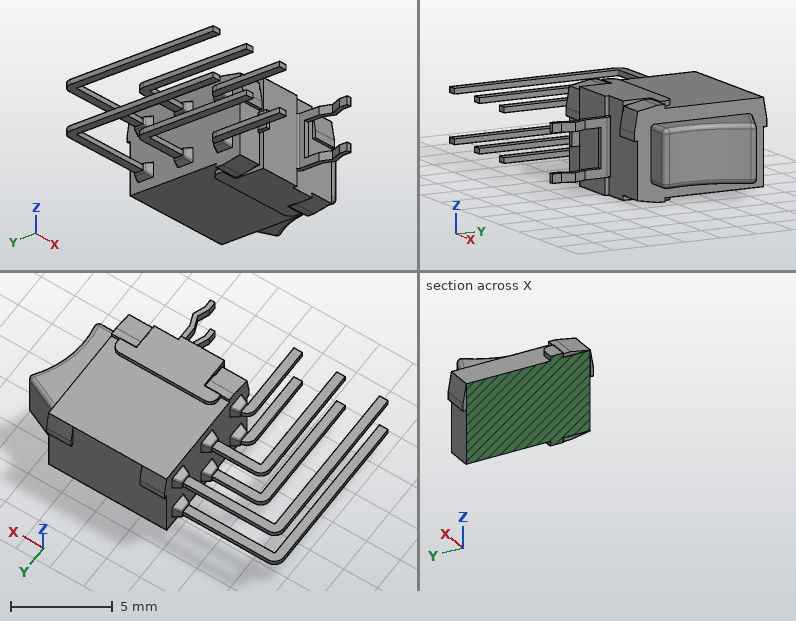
import cadquery as cq


body_length = 7.0
body_depth = 7.05
body_height = 4.49
half_depth = body_depth / 2
half_height = body_height / 2

lug_length = 1.46
lug_reach = 0.18
lug_top_z = 1.17
lug_bottom_z = 0.75
shoulder_height = 0.2
shoulder_start_y = -1.98
shoulder_slope_y = -2.4

metal = 0.23
bracket_height = 5.0
bracket_wide_x = 0.5
bracket_wide_corner = 0.46
bracket_back_y = -1.25
bracket_gap = 0.03
front_plate_end_x = 4.08
bend_radius = 0.09
bracket_face_y = -half_depth - metal

tab_width = 0.98
tab_thickness = 0.25
tab_tip_y = -4.18
leg_width = 0.48
leg_thickness = 0.28
leg_bar_y = -4.17
leg_kink = 0.26
leg_kink_start_y = -5.08
leg_kink_middle_y = -5.74
leg_kink_end_y = -6.38

pin_pitch = 2.54
pin_width = 0.5
pin_thickness = 0.29
pin_embed = 0.15
pin_tip_y = -6.89
pin_outer_radius = 0.55
first_tail_x = -0.75

collar_length = 0.48
collar_width = 1.02
collar_height = 0.83
collar_taper = 20
collar_round = 0.08

rocker_height = 3.03
rocker_root_x = 6.61
rocker_round = 0.25
rocker_bottom_y = -2.78
rocker_top_root_y = 3.09
rocker_top_corner = (9.45, 1.81)
rocker_hollow = (8.27, -1.08)
rocker_low_corner = (8.43, -2.78)


def box(x_range, y_range, z_range):
    size = [high - low for low, high in (x_range, y_range, z_range)]
    corner = (x_range[0], y_range[0], z_range[0])
    return cq.Workplane("XY").box(*size, centered=False).translate(corner)


def slab(outline, height):
    """Extrude a closed XY outline to the given height, centred on Z = 0."""
    return outline.extrude(height / 2, both=True)


def housing():
    body = box((0, body_length), (-half_depth, half_depth), (-half_height, half_height))
    lug_y = half_depth + lug_reach
    shoulder_z = half_height + shoulder_height
    back_profile = [
        (0, half_height),
        (half_depth, half_height),
        (lug_y, lug_top_z),
        (lug_y, lug_bottom_z),
        (0, lug_bottom_z),
    ]
    front_profile = [
        (shoulder_start_y, shoulder_z),
        (shoulder_slope_y, shoulder_z),
        (-half_depth, half_height),
        (-lug_y, lug_top_z),
        (-lug_y, lug_bottom_z),
        (-half_depth, lug_bottom_z),
        (-half_depth, -half_height),
        (shoulder_slope_y, -shoulder_z),
        (shoulder_start_y, -shoulder_z),
    ]
    for start_x in (0, body_length - lug_length):
        for profile in (back_profile, front_profile):
            lug = cq.Workplane("YZ").polyline(profile).close().extrude(lug_length)
            body = body.union(lug.translate((start_x, 0, 0)))
    return body


def bracket():
    half = bracket_height / 2
    neck_start = lug_length + bracket_gap
    neck_end = body_length - neck_start
    wide = box(
        (bracket_wide_x, body_length - bracket_wide_x),
        (shoulder_start_y, bracket_back_y),
        (-half, half),
    )
    wide = wide.edges("|Z and >Y").fillet(bracket_wide_corner)
    neck = box((neck_start, neck_end), (-half_depth, shoulder_start_y), (-half, half))
    front_plate = box((neck_start, front_plate_end_x), (bracket_face_y, shoulder_start_y), (-half, half))
    return wide.union(neck).union(front_plate)


def tab():
    """Tab bent out of the front plate towards the board."""
    plate_x = lug_length + bracket_gap
    inner_x = lug_length
    outer_x = inner_x - tab_thickness
    outline = (
        cq.Workplane("XY")
        .moveTo(plate_x, -half_depth)
        .lineTo(outer_x + metal, -half_depth)
        .radiusArc((outer_x, bracket_face_y), -metal)
        .lineTo(outer_x, tab_tip_y)
        .lineTo(inner_x, tab_tip_y)
        .lineTo(inner_x, bracket_face_y)
        .lineTo(plate_x, bracket_face_y)
        .close()
    )
    return slab(outline, tab_width)


def legs():
    """Pair of kinked legs joined by a bar, bent out of the front plate."""
    inner_x = front_plate_end_x + bend_radius
    outer_x = inner_x + leg_thickness
    outer_radius = bend_radius + metal
    outline = (
        cq.Workplane("XY")
        .moveTo(front_plate_end_x, -half_depth)
        .lineTo(outer_x - outer_radius, -half_depth)
        .radiusArc((outer_x, -half_depth - outer_radius), outer_radius)
        .lineTo(outer_x, leg_kink_start_y)
        .lineTo(outer_x + leg_kink, leg_kink_middle_y)
        .lineTo(outer_x, leg_kink_end_y)
        .lineTo(outer_x, pin_tip_y)
        .lineTo(inner_x, pin_tip_y)
        .lineTo(inner_x, leg_kink_end_y)
        .lineTo(inner_x + leg_kink, leg_kink_middle_y)
        .lineTo(inner_x, leg_kink_start_y)
        .lineTo(inner_x, bracket_face_y - bend_radius)
        .radiusArc((front_plate_end_x, bracket_face_y), -bend_radius)
        .close()
    )
    blank = slab(outline, pin_pitch + leg_width)
    gap_half = (pin_pitch - leg_width) / 2
    gap = box(
        (front_plate_end_x, outer_x + leg_kink),
        (pin_tip_y, leg_bar_y),
        (-gap_half, gap_half),
    )
    return blank.cut(gap)


def pin(row):
    """L-shaped pin; row -1 is nearest the board, row +1 is the farthest."""
    centre_y = row * pin_pitch
    tail_x = first_tail_x - (row + 1) * pin_pitch
    half = pin_width / 2
    inner_radius = pin_outer_radius - pin_width
    outline = (
        cq.Workplane("XY")
        .moveTo(pin_embed, centre_y + half)
        .lineTo(tail_x - half + pin_outer_radius, centre_y + half)
        .radiusArc((tail_x - half, centre_y + half - pin_outer_radius), -pin_outer_radius)
        .lineTo(tail_x - half, pin_tip_y)
        .lineTo(tail_x + half, pin_tip_y)
        .lineTo(tail_x + half, centre_y - half - inner_radius)
        .radiusArc((tail_x + half + inner_radius, centre_y - half), inner_radius)
        .lineTo(pin_embed, centre_y - half)
        .close()
    )
    collar = (
        cq.Workplane("YZ")
        .center(centre_y, 0)
        .rect(collar_width, collar_height)
        .extrude(-collar_length, taper=collar_taper)
        .edges("not >X")
        .fillet(collar_round)
    )
    return slab(outline, pin_thickness).union(collar)


def rocker():
    outline = (
        cq.Workplane("XY")
        .moveTo(rocker_root_x, rocker_bottom_y)
        .lineTo(*rocker_low_corner)
        .threePointArc(rocker_hollow, rocker_top_corner)
        .lineTo(rocker_root_x, rocker_top_root_y)
        .close()
    )
    return slab(outline, rocker_height).edges("not <X").fillet(rocker_round)


result = housing().union(bracket()).union(tab()).union(legs()).union(rocker())
for row in (-1, 0, 1):
    for side in (-1, 1):
        result = result.union(pin(row).translate((0, 0, side * pin_pitch / 2)))